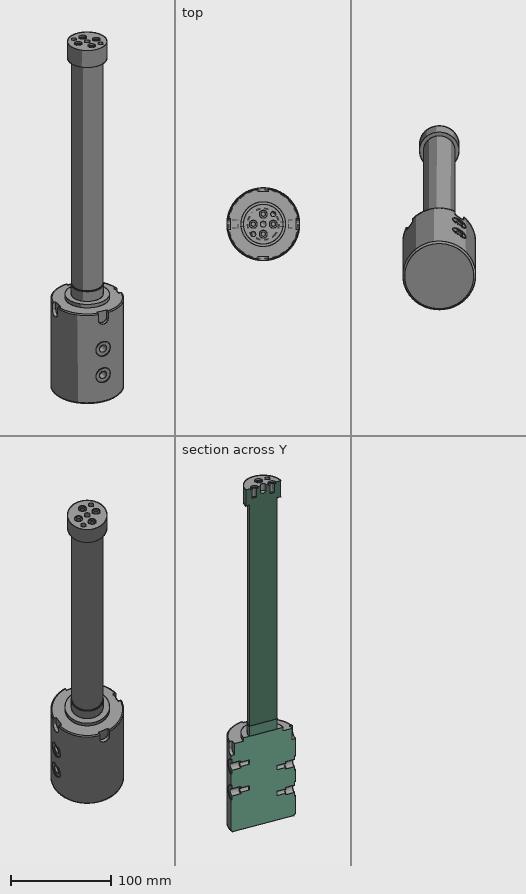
import cadquery as cq
import math

total_height = 392.0

base_diameter = 73.0
base_height = 102.0
base_top_chamfer = 1.0
base_bottom_chamfer = 2.0
collar_diameter = 44.5
collar_height = 4.0

notch_count = 4
notch_width = 11.0
notch_length = 13.0
notch_depth = 4.0

port_count = 4
top_port_height = 75.5
port_step = 15.0
spotface_diameter = 16.0
spotface_depth = 1.0

bore_diameter = 8.0
pilot_diameter = 4.5
pilot_length = 9.8
port_bore_depth = 9.8
head_bore_depth = 2.0

neck_diameter = 32.0
neck_height = 11.8
neck_top_chamfer = 0.8

shaft_diameter = 31.8
head_diameter = 39.5
head_height = 19.2

hole_spread = 20.0
center_hole_diameter = 6.0
corner_hole_diameter = 5.0
blind_hole_depth = 8.0
drill_tip_angle = 120.0

base_radius = base_diameter / 2
collar_top = base_height + collar_height
neck_top = collar_top + neck_height
hole_offset = hole_spread / 2


def cylinder(diameter, bottom, height):
    """An upright cylinder on the Z axis."""
    return cq.Workplane("XY", origin=(0, 0, bottom)).circle(diameter / 2).extrude(height)


def stepped_bore(mouth, bore_depth):
    """A bore and a narrower pilot hole below it, sunk against the normal of the mouth plane."""
    bore = cq.Workplane(mouth).circle(bore_diameter / 2).extrude(-bore_depth)
    pilot = cq.Workplane(mouth).circle(pilot_diameter / 2).extrude(-bore_depth - pilot_length)
    return bore.union(pilot)


def drilled_hole(x, y, diameter):
    """A blind hole with a conical bottom, sunk into the top of the head."""
    radius = diameter / 2
    tip_depth = blind_hole_depth + radius / math.tan(math.radians(drill_tip_angle / 2))
    return (
        cq.Workplane("XZ")
        .polyline([(0, 0), (radius, 0), (radius, -blind_hole_depth), (0, -tip_depth)])
        .close()
        .revolve(360, (0, 0), (0, 1))
        .translate((x, y, total_height))
    )


def rim_notch():
    """The notch on the -Y side: flat floor, round lower end, open at the top and outside."""
    radius = notch_width / 2
    bottom = base_height - notch_length
    return (
        cq.Workplane("XZ", origin=(0, -base_radius + notch_depth, 0))
        .moveTo(-radius, base_height)
        .lineTo(-radius, bottom + radius)
        .threePointArc((0, bottom), (radius, bottom + radius))
        .lineTo(radius, base_height)
        .close()
        .extrude(2 * notch_depth)
    )


def side_port(side, height):
    """A spotface with a stepped bore in its floor; side is -1 for -X and 1 for +X."""
    floor = cq.Plane(
        origin=(side * (base_radius - spotface_depth), 0, height),
        xDir=(0, side, 0),
        normal=(side, 0, 0),
    )
    spotface = cq.Workplane(floor).circle(spotface_diameter / 2).extrude(2 * spotface_depth)
    return spotface.union(stepped_bore(floor, port_bore_depth))


def make_base():
    block = cylinder(base_diameter, 0, base_height)
    block = block.faces(">Z").chamfer(base_top_chamfer)
    block = block.faces("<Z").chamfer(base_bottom_chamfer)
    base = block.union(cylinder(collar_diameter, base_height, collar_height))
    for i in range(notch_count):
        base = base.cut(rim_notch().rotate((0, 0, 0), (0, 0, 1), i * 360 / notch_count))
    for i in range(port_count):
        side = -1 if i % 2 == 0 else 1
        base = base.cut(side_port(side, top_port_height - i * port_step))
    return base


def make_neck():
    return cylinder(neck_diameter, collar_top, neck_height).faces(">Z").chamfer(neck_top_chamfer)


def make_column():
    head_bottom = total_height - head_height
    shaft = cylinder(shaft_diameter, neck_top, head_bottom - neck_top)
    column = shaft.union(cylinder(head_diameter, head_bottom, head_height))
    for x, y in ((1, 0), (0, 1), (-1, 0), (0, -1)):
        mouth = cq.Plane(origin=(x * hole_offset, y * hole_offset, total_height))
        column = column.cut(stepped_bore(mouth, head_bore_depth))
    column = column.cut(drilled_hole(0, 0, center_hole_diameter))
    for corner in (hole_offset, -hole_offset):
        column = column.cut(drilled_hole(corner, corner, corner_hole_diameter))
    return column


base = make_base()
neck = make_neck()
column = make_column()

result = cq.Compound.makeCompound([base.val(), neck.val(), column.val()])